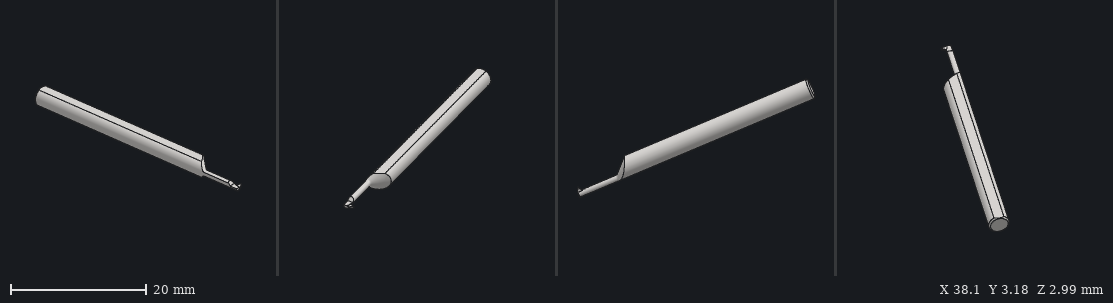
import cadquery as cq
import math

overall_length = 38.1
shank_diameter = 3.175
shank_radius = shank_diameter / 2
height_over_flat = 2.99
flat_z = height_over_flat - shank_radius
end_chamfer = 0.25

neck_radius = 0.52
neck_axis_y = -1.16
cone_angle = math.radians(45)
cone_end_x = 31.74
cone_fillet = 0.5

tip_flat_start_x = 36.92

tooth_point_x = 37.75
tooth_half_angle = math.radians(30)
tooth_thickness = 0.3

rake_angle = math.radians(4.5)
rake_step_angle = 18.4
rake_step_y = -0.876


def make_shank():
    """Full-length round bar with a chamfered rear end and a flat along its top."""
    bar = cq.Workplane("YZ").circle(shank_radius).extrude(overall_length)
    bar = bar.faces("<X").chamfer(end_chamfer)
    above_flat = (
        cq.Workplane("XY", origin=(0, 0, flat_z))
        .rect(2 * overall_length, shank_diameter)
        .extrude(shank_radius)
    )
    return bar.cut(above_flat)


def make_neck_envelope():
    """Solid of revolution about the neck axis: clearance around the shank, cone, fillet and neck."""
    cone_start_radius = neck_radius + shank_diameter
    cone_start_x = cone_end_x - shank_diameter / math.tan(cone_angle)
    tangent_length = cone_fillet * math.tan(cone_angle / 2)
    fillet_start_x = cone_end_x - tangent_length * math.cos(cone_angle)
    fillet_start_radius = neck_radius + tangent_length * math.sin(cone_angle)
    fillet_end_x = cone_end_x + tangent_length
    fillet_middle_x = fillet_end_x - cone_fillet * math.sin(cone_angle / 2)
    fillet_middle_radius = neck_radius + cone_fillet * (1 - math.cos(cone_angle / 2))
    profile = (
        cq.Workplane("XZ", origin=(0, neck_axis_y, 0))
        .lineTo(0, cone_start_radius)
        .lineTo(cone_start_x, cone_start_radius)
        .lineTo(fillet_start_x, fillet_start_radius)
        .threePointArc((fillet_middle_x, fillet_middle_radius), (fillet_end_x, neck_radius))
        .lineTo(overall_length, neck_radius)
        .lineTo(overall_length, 0)
        .close()
    )
    return profile.revolve(360, (0, 0, 0), (1, 0, 0))


def make_tip_cut():
    """Space above the tip flat, ending at the 45 degree run-out."""
    cut_height = 2 * neck_radius
    return (
        cq.Workplane("XZ")
        .moveTo(tip_flat_start_x, 0)
        .lineTo(overall_length, 0)
        .lineTo(overall_length, cut_height)
        .lineTo(tip_flat_start_x - cut_height, cut_height)
        .close()
        .extrude(shank_radius, both=True)
    )


def make_tooth():
    """Triangular tooth from the neck axis to the point, cut off square at the end of the bar."""
    spread = math.tan(tooth_half_angle)
    return (
        cq.Workplane("XY")
        .moveTo(tooth_point_x, 0)
        .lineTo(tooth_point_x + neck_axis_y * spread, neck_axis_y)
        .lineTo(overall_length, neck_axis_y)
        .lineTo(overall_length, (tooth_point_x - overall_length) / spread)
        .close()
        .extrude(-tooth_thickness)
    )


def make_rake_cut():
    """Wedge above the rake face, deepest at the step and running out at the tooth point."""
    step_to_point = -rake_step_y * math.cos(math.radians(rake_step_angle))
    step_depth = step_to_point * math.tan(rake_angle)
    return (
        cq.Workplane("YZ")
        .lineTo(-step_to_point, 0)
        .lineTo(-step_to_point, -step_depth)
        .close()
        .extrude(shank_diameter, both=True)
        .rotate((0, 0, 0), (0, 0, 1), -rake_step_angle)
        .translate((tooth_point_x, 0, 0))
    )


neck_and_shank = make_shank().intersect(make_neck_envelope())
tip = neck_and_shank.cut(make_tip_cut()).union(make_tooth())
result = tip.cut(make_rake_cut())